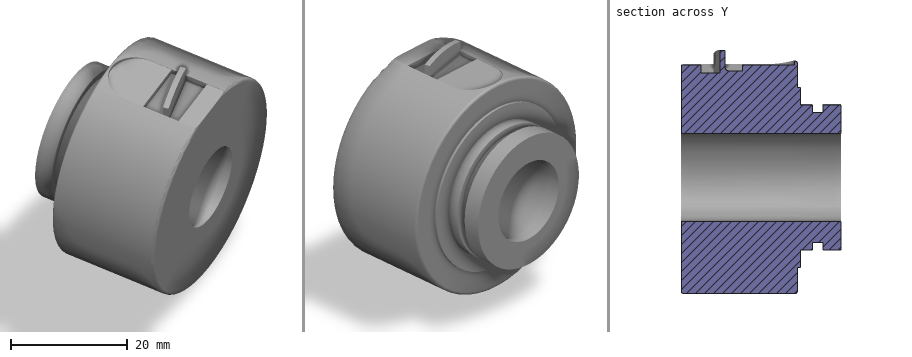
import cadquery as cq
import math

total_length = 27.5
body_length = 20.0
body_radius = 20.0
body_edge_fillet = 0.5
shoulder_length = 0.5
shoulder_radius = 15.5
hub_radius = 12.5
groove_start = 3.2
groove_width = 1.7
groove_radius = 11.2
bore_radius = 7.5

body_start = total_length - body_length
shoulder_start = body_start - shoulder_length

slot_width = 10.0
slot_start = 8.05
slot_floor_z = 19.3

pocket_start = 17.0
pocket_end = 24.0
front_depth = 1.0
rear_depth = 1.4
front_floor_z = slot_floor_z - front_depth
rear_floor_z = slot_floor_z - rear_depth

key_center_x = 20.4
key_angle = 12.0
key_length = 10.0
key_thickness = 1.0
key_top_z = 21.85
key_crown_radius = 19.0
foot_fillet = 0.5
key_embed = 0.5

join_overlap = 0.5
cut_margin = 1.0


def cylinder_x(start, length, radius):
    return cq.Workplane("YZ", origin=(start, 0, 0)).circle(radius).extrude(length)


def make_turned_body():
    body = cylinder_x(body_start, body_length, body_radius).edges().fillet(body_edge_fillet)
    shoulder = cylinder_x(shoulder_start, shoulder_length + join_overlap, shoulder_radius)
    hub = cylinder_x(0, body_start + join_overlap, hub_radius)
    groove = cylinder_x(groove_start, groove_width, hub_radius + cut_margin).cut(
        cylinder_x(groove_start, groove_width, groove_radius)
    )
    return body.union(shoulder).union(hub).cut(groove)


def make_slot():
    """Slot with one round end, open at the large end of the body."""
    end_radius = slot_width / 2
    return (
        cq.Workplane("XY", origin=(0, 0, slot_floor_z))
        .moveTo(total_length, -end_radius)
        .lineTo(slot_start + end_radius, -end_radius)
        .threePointArc((slot_start, 0), (slot_start + end_radius, end_radius))
        .lineTo(total_length, end_radius)
        .close()
        .extrude(body_radius - slot_floor_z)
    )


def slant(shape):
    """Turn a shape about Z to the key angle and move it to the key position."""
    return shape.rotate((0, 0, 0), (0, 0, 1), key_angle).translate((key_center_x, 0, 0))


def pocket_block(floor_z):
    return (
        cq.Workplane("XY", origin=((pocket_start + pocket_end) / 2, 0, floor_z))
        .rect(pocket_end - pocket_start, slot_width)
        .extrude(body_radius - floor_z)
    )


def make_pocket():
    """Shallow pocket, stepped down on the rear side of the slanted key."""
    rear_side = slant(
        cq.Workplane("XY", origin=(0, 0, rear_floor_z))
        .rect(2 * slot_width, 2 * slot_width)
        .extrude(body_radius - rear_floor_z)
        .translate((slot_width, 0, 0))
    )
    return pocket_block(front_floor_z).union(pocket_block(rear_floor_z).intersect(rear_side))


def make_key():
    """Key with a crowned top and a fillet along its foot, slanted about Z."""
    half_length = key_length / 2
    front_x = -key_thickness / 2
    bottom_z = rear_floor_z - key_embed
    fillet_mid = foot_fillet * (1 - math.sqrt(0.5))
    crown_drop = key_crown_radius - math.sqrt(key_crown_radius**2 - half_length**2)

    section = (
        cq.Workplane("XZ", origin=(0, half_length, 0))
        .moveTo(front_x - foot_fillet, bottom_z)
        .lineTo(front_x - foot_fillet, front_floor_z)
        .threePointArc(
            (front_x - fillet_mid, front_floor_z + fillet_mid),
            (front_x, front_floor_z + foot_fillet),
        )
        .lineTo(front_x, key_top_z)
        .lineTo(-front_x, key_top_z)
        .lineTo(-front_x, bottom_z)
        .close()
        .extrude(key_length)
    )
    crowned_outline = (
        cq.Workplane("YZ", origin=(-key_thickness, 0, 0))
        .moveTo(-half_length, bottom_z)
        .lineTo(-half_length, key_top_z - crown_drop)
        .threePointArc((0, key_top_z), (half_length, key_top_z - crown_drop))
        .lineTo(half_length, bottom_z)
        .close()
        .extrude(2 * key_thickness)
    )
    return slant(section.intersect(crowned_outline))


bore = cylinder_x(0, total_length, bore_radius)
result = make_turned_body().cut(bore).cut(make_slot()).cut(make_pocket()).union(make_key())